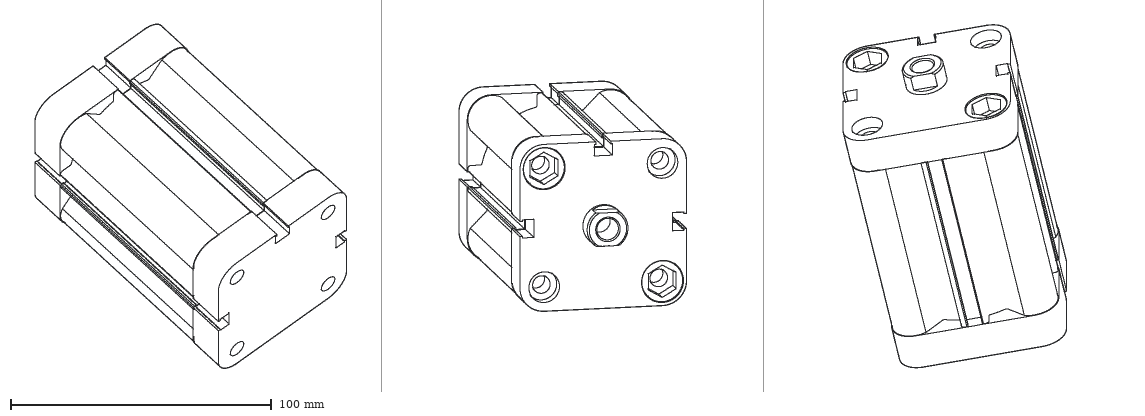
import cadquery as cq
import math

total_length = 114.5
cap_side = 65.5
cap_length = 14.7
rod_projection = 8.0
front_cap_start = rod_projection
barrel_start = front_cap_start + cap_length
rear_cap_start = total_length - cap_length
barrel_length = rear_cap_start - barrel_start

bolt_offset = 23.2
bolt_hole_diameter = 6.9
all_corners = [(y, z) for y in (bolt_offset, -bolt_offset) for z in (bolt_offset, -bolt_offset)]
head_corners = [(side * bolt_offset, side * bolt_offset) for side in (1, -1)]
open_corners = [(side * bolt_offset, -side * bolt_offset) for side in (1, -1)]

cap_half = cap_side / 2
cap_corner_radius = cap_half - bolt_offset
cap_slot_mouth = 6.0
cap_slot_width = 7.1
cap_slot_lip = 1.0
cap_slot_depth = 5.5
counterbore_diameter = 12.0
counterbore_depth = 4.8
head_diameter = 16.0
head_bore_diameter = 16.5
hexagon_across_flats = 11.0
head_recess = 0.5
hexagon_depth = 6.5

barrel_inset = 0.29
barrel_half = cap_half - barrel_inset
column_radius = barrel_half - bolt_offset
tube_radius = 27.6
channel_edge = 19.2
channel_fillet = 0.9
rail_half_width = 5.4
rail_round = 1.1
rail_foot_fillet = 0.7
barrel_slot_mouth = 5.6
barrel_slot_width = 6.6
barrel_slot_lip = 1.5
barrel_slot_chamfer = 0.5
barrel_slot_floor = 27.6

rod_diameter = 16.0
rod_chamfer = 0.7
rod_across_flats = 13.0
rod_flat_length = 6.2
rod_flat_runout = 0.3
thread_bore_diameter = 8.5
thread_bore_depth = 14.9
thread_bore_chamfer = 0.6
drill_point_angle = 118.0

quarter_turn = 90
cap_slot_turns = (0, quarter_turn, -quarter_turn)
overcut = 1.1


def section(start):
    """Workplane across the cylinder axis at X = start, with local axes Y and Z."""
    return cq.Workplane("YZ", origin=(start, 0, 0))


def bolt_holes(start, length):
    return section(start).pushPoints(all_corners).circle(bolt_hole_diameter / 2).extrude(length)


def make_cap(start):
    """Square end cap with stepped slots on three sides and four bolt holes."""
    cap = section(start).rect(cap_side, cap_side).extrude(cap_length)
    cap = cap.edges("|X").fillet(cap_corner_radius)
    slot = (
        section(start)
        .moveTo(-cap_slot_mouth / 2, cap_half + overcut)
        .lineTo(-cap_slot_mouth / 2, cap_half - cap_slot_lip)
        .lineTo(-cap_slot_width / 2, cap_half - cap_slot_lip)
        .lineTo(-cap_slot_width / 2, cap_half - cap_slot_depth)
        .lineTo(cap_slot_width / 2, cap_half - cap_slot_depth)
        .lineTo(cap_slot_width / 2, cap_half - cap_slot_lip)
        .lineTo(cap_slot_mouth / 2, cap_half - cap_slot_lip)
        .lineTo(cap_slot_mouth / 2, cap_half + overcut)
        .close()
        .extrude(cap_length)
    )
    for turn in cap_slot_turns:
        cap = cap.cut(slot.rotate((0, 0, 0), (1, 0, 0), turn))
    return cap.cut(bolt_holes(start, cap_length))


def make_front_cap():
    """End cap with the rod hole, two counterbores, and two recessed heads with hexagon sockets.

    A thin ring groove sets each head off from the cap around it.
    """
    face = section(front_cap_start)
    rod_hole = face.circle(rod_diameter / 2).extrude(cap_length)
    counterbores = face.pushPoints(open_corners).circle(counterbore_diameter / 2).extrude(counterbore_depth)
    recesses = face.pushPoints(head_corners).circle(head_bore_diameter / 2).extrude(head_recess)
    head_rings = (
        face.pushPoints(head_corners)
        .circle(head_bore_diameter / 2)
        .circle(head_diameter / 2)
        .extrude(hexagon_depth)
    )
    hexagon_diameter = 2 * hexagon_across_flats / math.sqrt(3)
    socket = section(0).polygon(6, hexagon_diameter).extrude(hexagon_depth)
    socket = socket.rotate((0, 0, 0), (1, 0, 0), quarter_turn)
    cap = make_cap(front_cap_start).cut(rod_hole).cut(counterbores).cut(recesses).cut(head_rings)
    for y, z in head_corners:
        cap = cap.cut(socket.translate((front_cap_start, y, z)))
    return cap


def barrel_half_side():
    """Corners of the +Z side from the slot outwards, each with the radius leading to it.

    A zero radius is a straight stretch, a positive one bulges outwards and a negative one inwards.
    """
    slot_mouth = barrel_slot_mouth / 2
    slot_inner = barrel_slot_width / 2
    lip_bottom = barrel_half - barrel_slot_lip

    foot_y = rail_half_width + rail_foot_fillet
    foot_z = math.sqrt((tube_radius + rail_foot_fillet) ** 2 - foot_y ** 2)
    foot_scale = tube_radius / (tube_radius + rail_foot_fillet)

    edge_z = bolt_offset + math.sqrt(column_radius ** 2 - (bolt_offset - channel_edge) ** 2)

    diagonal_rise = edge_z - channel_edge + channel_fillet * math.sqrt(2)
    reach = tube_radius + channel_fillet
    fillet_y = (math.sqrt(2 * reach ** 2 - diagonal_rise ** 2) - diagonal_rise) / 2
    fillet_z = fillet_y + diagonal_rise
    fillet_scale = tube_radius / reach
    wall_shift = channel_fillet / math.sqrt(2)

    return [
        (slot_inner, barrel_slot_floor, 0),
        (slot_inner, lip_bottom, 0),
        (slot_mouth, lip_bottom, 0),
        (slot_mouth, barrel_half - barrel_slot_chamfer, 0),
        (slot_mouth + barrel_slot_chamfer, barrel_half, 0),
        (rail_half_width - rail_round, barrel_half, 0),
        (rail_half_width, barrel_half - rail_round, rail_round),
        (rail_half_width, foot_z, 0),
        (foot_y * foot_scale, foot_z * foot_scale, -rail_foot_fillet),
        (fillet_y * fillet_scale, fillet_z * fillet_scale, tube_radius),
        (fillet_y + wall_shift, fillet_z - wall_shift, -channel_fillet),
        (channel_edge, edge_z, 0),
    ]


def barrel_side():
    """Whole +Z side from -Y to +Y, entered by the arc of the corner column."""
    half_side = barrel_half_side()
    radii = [column_radius] + [radius for _, _, radius in reversed(half_side[1:])]
    mirrored = [(-y, z, radius) for (y, z, _), radius in zip(reversed(half_side), radii)]
    return mirrored + half_side


def make_barrel():
    """Extruded barrel with corner columns, and a slotted rail between two channels on each side."""
    side = barrel_side()
    outline = []
    for _ in range(4):
        outline += side
        side = [(z, -y, radius) for y, z, radius in side]

    last_y, last_z, _ = outline[-1]
    profile = section(barrel_start).moveTo(last_y, last_z)
    for y, z, radius in outline:
        if radius:
            profile = profile.radiusArc((y, z), radius)
        else:
            profile = profile.lineTo(y, z)
    return profile.close().extrude(barrel_length).cut(bolt_holes(barrel_start, barrel_length))


def make_rod():
    """Piston rod with two spanner flats and a drilled bore in its tip."""
    radius = rod_diameter / 2
    rod = section(0).circle(radius).extrude(barrel_start).faces("<X").chamfer(rod_chamfer)

    half_flats = rod_across_flats / 2
    flat = (
        cq.Workplane("XZ")
        .moveTo(0, half_flats)
        .lineTo(rod_flat_length, half_flats)
        .lineTo(rod_flat_length + rod_flat_runout, radius)
        .lineTo(0, radius)
        .close()
        .extrude(radius, both=True)
    )
    rod = rod.cut(flat).cut(flat.mirror("XY"))

    bore_radius = thread_bore_diameter / 2
    point_length = bore_radius / math.tan(math.radians(drill_point_angle / 2))
    bore = (
        cq.Workplane("XZ")
        .moveTo(0, 0)
        .lineTo(0, bore_radius + thread_bore_chamfer)
        .lineTo(thread_bore_chamfer, bore_radius)
        .lineTo(thread_bore_depth, bore_radius)
        .lineTo(thread_bore_depth + point_length, 0)
        .close()
        .revolve(360, (0, 0, 0), (1, 0, 0))
    )
    return rod.cut(bore)


front_cap = make_front_cap()
barrel = make_barrel()
rear_cap = make_cap(rear_cap_start)
piston_rod = make_rod()

result = cq.Compound.makeCompound([front_cap.val(), barrel.val(), rear_cap.val(), piston_rod.val()])